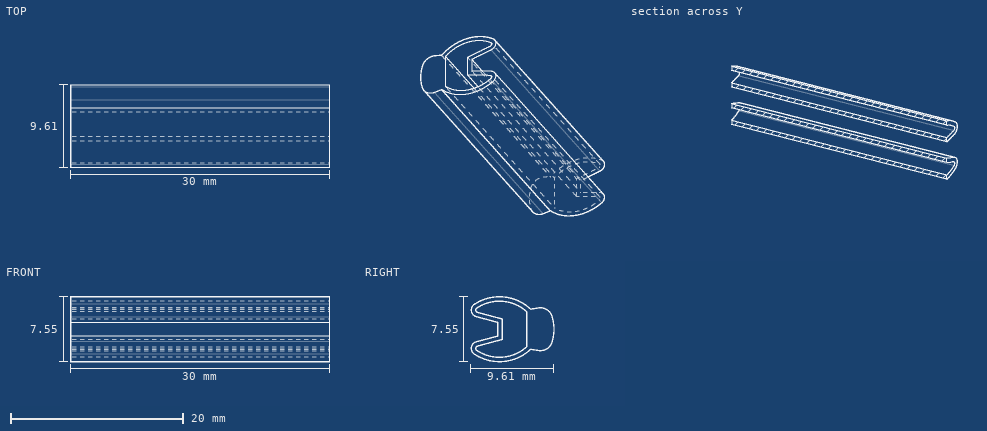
import cadquery as cq
import math

length = 30.0
height = 7.55
wall = 0.55
shell_radius = 5.25

slot_floor_y = -0.2
slot_floor_half_width = 0.78
slot_flare = math.radians(15)
lip_radius = 0.8

pad_inner_y = 3.15
pad_front_y = 6.33
pad_shoulder_y = 6.1
pad_shoulder_z = 1.53
pad_corner_y = 5.58
pad_corner_z = 2.22
pad_crown_y = 4.55
pad_half_height = 2.5
pad_root_y = 3.65
pad_root_z = 2.35

arc_center_z = height / 2 - shell_radius


def extrude_section(section):
    return section.extrude(length)


def section_plane():
    return cq.Workplane("YZ", origin=(-length / 2, 0, 0))


def slotted_lens(inset):
    """Lens with a flared slot and rounded lips, its faces moved inward by inset."""
    radius = shell_radius - inset
    lens = extrude_section(section_plane().center(0, arc_center_z).circle(radius))
    lens = lens.intersect(extrude_section(section_plane().center(0, -arc_center_z).circle(radius)))

    floor_y = slot_floor_y + inset
    floor_half_width = (
        slot_floor_half_width + inset / math.cos(slot_flare) - inset * math.tan(slot_flare)
    )
    mouth_y = -shell_radius
    mouth_half_width = floor_half_width + (floor_y - mouth_y) * math.tan(slot_flare)
    slot = section_plane().polyline([
        (floor_y, floor_half_width),
        (mouth_y, mouth_half_width),
        (mouth_y, -mouth_half_width),
        (floor_y, -floor_half_width),
    ]).close()
    lens = lens.cut(extrude_section(slot))
    return lens.edges("|X").edges("<Y").fillet(lip_radius - inset)


def beyond_pad_face():
    """Block covering everything on the +Y side of the pad's inner face."""
    block = section_plane().center(pad_inner_y + shell_radius / 2, 0).rect(shell_radius, height)
    return extrude_section(block)


def pad():
    """Pad with a bowed front and rounded corners, closed off inside the lens."""
    section = (
        section_plane()
        .moveTo(pad_root_y, -pad_root_z)
        .lineTo(pad_crown_y, -pad_half_height)
        .threePointArc((pad_corner_y, -pad_corner_z), (pad_shoulder_y, -pad_shoulder_z))
        .threePointArc((pad_front_y, 0), (pad_shoulder_y, pad_shoulder_z))
        .threePointArc((pad_corner_y, pad_corner_z), (pad_crown_y, pad_half_height))
        .lineTo(pad_root_y, pad_root_z)
        .close()
    )
    return extrude_section(section)


cavity = slotted_lens(wall).cut(beyond_pad_face())
result = slotted_lens(0).union(pad()).cut(cavity)